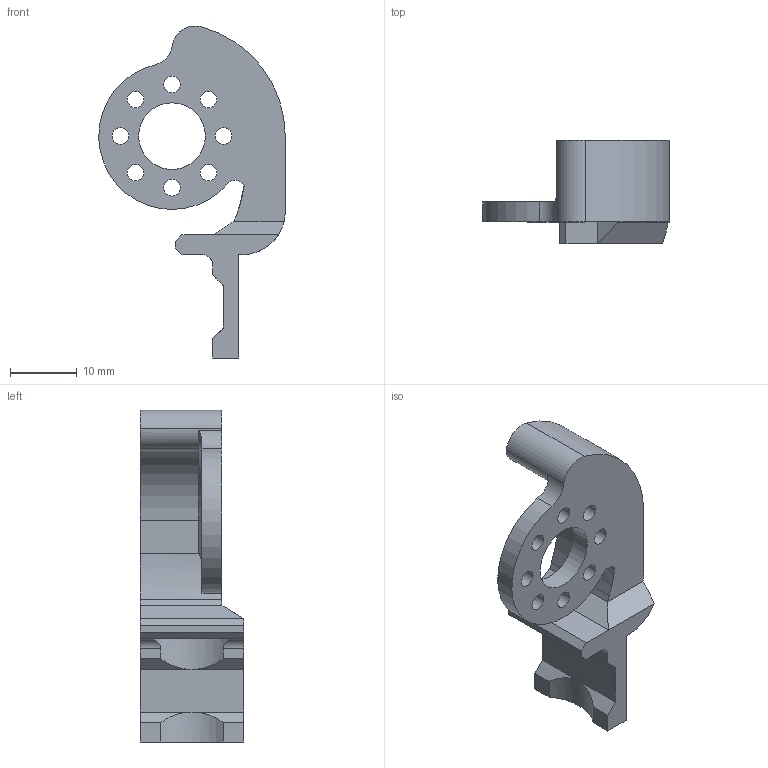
import math
import cadquery as cq

FOOT_FRONT = -3.25
BACK = 12.25
PLATE_THICKNESS = 3.0
CORNER_CHAMFER = 0.5
CORNER_RUNOUT = 1.2

DISC_RADIUS = 11.0
BORE_DIAMETER = 10.0
BOLT_CIRCLE_RADIUS = 7.75
BOLT_HOLE_DIAMETER = 2.5
BOLT_HOLE_COUNT = 8

HOOK_RADIUS = 17.0
TIP_RADIUS = 3.5
TIP_ANGLE = 15.0
TIP_SPLIT_Z = 13.7
TIP_UNDERSIDE_RADIUS = 3.0
TIP_BLEND_RADIUS = 3.3
WALL_STRAIGHT_BOTTOM = -5.0
WALL_CURVE_RADIUS = 18.4
WALL_CURVE_BOTTOM = -11.9
SLOT_END_RADIUS = 1.5
SLOT_END_X = 9.5

SHELF_TOP = -14.8
SHELF_THICKNESS = 3.0
SHELF_LEFT = 0.5
SHELF_CHAMFER = 1.0
SHOULDER_RISE = 2.0
SHOULDER_LEFT = 6.2
OUTER_CORNER_RADIUS = 6.5

LEG_BOTTOM = -33.3
LEG_RIGHT = 10.0
LEG_LEFT = 6.1
LEG_FILLET = 1.5
RECESS_DEPTH = 1.6
RECESS_TOP = -20.8
RECESS_BOTTOM = -30.4

SHELF_BOTTOM = SHELF_TOP - SHELF_THICKNESS
SHOULDER_TOP = SHELF_TOP + SHOULDER_RISE
RECESS_X = LEG_LEFT + RECESS_DEPTH
SCALLOP_RADIUS = RECESS_X
WALL_CURVE_CENTER = (DISC_RADIUS - WALL_CURVE_RADIUS, WALL_STRAIGHT_BOTTOM)
ORIGIN = (0.0, 0.0)


def polar(radius, degrees_from_z):
    """XZ point at a radius from the plate's axis, at an angle from +Z towards +X."""
    angle = math.radians(degrees_from_z)
    return (radius * math.sin(angle), radius * math.cos(angle))


def toward(center, target, distance):
    """Point at a distance from center along the ray to target."""
    length = math.dist(center, target)
    return tuple(c + (t - c) * distance / length for c, t in zip(center, target))


def arc_middle(center, start, end):
    """Middle of the short arc about center from start to end."""
    chord_middle = ((start[0] + end[0]) / 2, (start[1] + end[1]) / 2)
    return toward(center, chord_middle, math.dist(center, start))


def circle_meeting(first, first_radius, second, second_radius):
    """Intersection of two circles lying left of the ray from first to second."""
    gap = math.dist(first, second)
    along = (gap**2 + first_radius**2 - second_radius**2) / (2 * gap)
    across = math.sqrt(first_radius**2 - along**2)
    ux = (second[0] - first[0]) / gap
    uz = (second[1] - first[1]) / gap
    return (first[0] + along * ux - across * uz, first[1] + along * uz + across * ux)


def extrude_xz(outline, front, back):
    """Extrude a closed XZ outline from Y = front to Y = back."""
    return outline.extrude(front - back).translate((0, front, 0))


TIP_CENTER = polar(HOOK_RADIUS - TIP_RADIUS, TIP_ANGLE)


def hook_and_leg():
    """Hook, shelf and leg in one outline, as deep as the whole part."""
    tip_top = polar(HOOK_RADIUS, TIP_ANGLE)
    split_height = TIP_SPLIT_Z - TIP_CENTER[1]
    tip_split = (TIP_CENTER[0] - math.sqrt(TIP_RADIUS**2 - split_height**2), TIP_SPLIT_Z)
    underside_center = circle_meeting(
        tip_split, TIP_UNDERSIDE_RADIUS, ORIGIN, DISC_RADIUS + TIP_UNDERSIDE_RADIUS
    )
    underside_end = toward(ORIGIN, underside_center, DISC_RADIUS)
    wall_top = (DISC_RADIUS, 0.0)
    wall_bottom = (DISC_RADIUS, WALL_STRAIGHT_BOTTOM)
    curve_drop = WALL_STRAIGHT_BOTTOM - WALL_CURVE_BOTTOM
    curve_reach = math.sqrt(WALL_CURVE_RADIUS**2 - curve_drop**2)
    curve_end = (WALL_CURVE_CENTER[0] + curve_reach, WALL_CURVE_BOTTOM)
    tangent_slope = curve_drop / curve_reach
    shoulder_x = curve_end[0] - tangent_slope * (WALL_CURVE_BOTTOM - SHOULDER_TOP)
    hook_side = (HOOK_RADIUS, 0.0)
    corner_center = (HOOK_RADIUS - OUTER_CORNER_RADIUS, SHELF_BOTTOM + OUTER_CORNER_RADIUS)
    corner_top = (HOOK_RADIUS, corner_center[1])
    corner_bottom = (corner_center[0], SHELF_BOTTOM)
    leg_fillet_center = (LEG_LEFT - LEG_FILLET, SHELF_BOTTOM - LEG_FILLET)
    fillet_start = (leg_fillet_center[0], SHELF_BOTTOM)
    fillet_end = (LEG_LEFT, leg_fillet_center[1])

    outline = (
        cq.Workplane("XZ")
        .moveTo(*hook_side)
        .threePointArc(arc_middle(ORIGIN, hook_side, tip_top), tip_top)
        .threePointArc(arc_middle(TIP_CENTER, tip_top, tip_split), tip_split)
        .threePointArc(arc_middle(underside_center, tip_split, underside_end), underside_end)
        .threePointArc(arc_middle(ORIGIN, underside_end, wall_top), wall_top)
        .lineTo(*wall_bottom)
        .threePointArc(arc_middle(WALL_CURVE_CENTER, wall_bottom, curve_end), curve_end)
        .lineTo(shoulder_x, SHOULDER_TOP)
        .lineTo(SHOULDER_LEFT, SHELF_TOP)
        .lineTo(SHELF_LEFT + SHELF_CHAMFER, SHELF_TOP)
        .lineTo(SHELF_LEFT, SHELF_TOP - SHELF_CHAMFER)
        .lineTo(SHELF_LEFT, SHELF_BOTTOM + SHELF_CHAMFER)
        .lineTo(SHELF_LEFT + SHELF_CHAMFER, SHELF_BOTTOM)
        .lineTo(*fillet_start)
        .threePointArc(arc_middle(leg_fillet_center, fillet_start, fillet_end), fillet_end)
        .lineTo(LEG_LEFT, RECESS_TOP)
        .lineTo(RECESS_X, RECESS_TOP - RECESS_DEPTH)
        .lineTo(RECESS_X, RECESS_BOTTOM + RECESS_DEPTH)
        .lineTo(LEG_LEFT, RECESS_BOTTOM)
        .lineTo(LEG_LEFT, LEG_BOTTOM)
        .lineTo(LEG_RIGHT, LEG_BOTTOM)
        .lineTo(LEG_RIGHT, SHELF_BOTTOM)
        .lineTo(*corner_bottom)
        .threePointArc(arc_middle(corner_center, corner_bottom, corner_top), corner_top)
        .close()
    )
    return extrude_xz(outline, FOOT_FRONT, BACK)


def space_above_shoulder():
    """Space in front of the plate, bounded below by the sloped shoulder."""
    return (
        cq.Workplane("YZ")
        .moveTo(0, HOOK_RADIUS)
        .lineTo(0, SHOULDER_TOP)
        .lineTo(FOOT_FRONT, SHELF_TOP)
        .lineTo(FOOT_FRONT, HOOK_RADIUS)
        .close()
        .extrude(HOOK_RADIUS, both=True)
    )


def plate(back):
    """Round plate from Y = 0 to back, blended into the hook tip and ending in a rounded slot."""
    blend_center = circle_meeting(
        ORIGIN, DISC_RADIUS + TIP_BLEND_RADIUS, TIP_CENTER, TIP_RADIUS + TIP_BLEND_RADIUS
    )
    blend_on_disc = toward(ORIGIN, blend_center, DISC_RADIUS)
    blend_on_tip = toward(TIP_CENTER, blend_center, TIP_RADIUS)
    slot_center_distance = DISC_RADIUS + SLOT_END_RADIUS
    slot_center = (SLOT_END_X, -math.sqrt(slot_center_distance**2 - SLOT_END_X**2))
    slot_on_disc = toward(ORIGIN, slot_center, DISC_RADIUS)
    slot_on_wall = circle_meeting(WALL_CURVE_CENTER, WALL_CURVE_RADIUS, slot_center, SLOT_END_RADIUS)
    slot_top = (slot_center[0], slot_center[1] + SLOT_END_RADIUS)
    inside_hook_side = (HOOK_RADIUS - TIP_RADIUS, 0.0)

    outline = (
        cq.Workplane("XZ")
        .moveTo(*blend_on_disc)
        .threePointArc(arc_middle(blend_center, blend_on_disc, blend_on_tip), blend_on_tip)
        .lineTo(*TIP_CENTER)
        .threePointArc(arc_middle(ORIGIN, TIP_CENTER, inside_hook_side), inside_hook_side)
        .lineTo(inside_hook_side[0], slot_on_wall[1])
        .lineTo(*slot_on_wall)
        .threePointArc(slot_top, slot_on_disc)
        .threePointArc((-DISC_RADIUS, 0), blend_on_disc)
        .close()
    )
    return extrude_xz(outline, 0, back)


def plate_holes():
    """Central bore and the ring of bolt holes around it."""
    bolt_spacing = 360 / BOLT_HOLE_COUNT
    bolt_places = [polar(BOLT_CIRCLE_RADIUS, index * bolt_spacing) for index in range(BOLT_HOLE_COUNT)]
    bore = cq.Workplane("XZ").circle(BORE_DIAMETER / 2)
    bolt_circles = cq.Workplane("XZ").pushPoints(bolt_places).circle(BOLT_HOLE_DIAMETER / 2)
    bolt_holes = extrude_xz(bolt_circles, 0, PLATE_THICKNESS)
    return extrude_xz(bore, 0, PLATE_THICKNESS).union(bolt_holes)


def leg_scallop():
    """Upright cylinder that hollows the leg below the shelf."""
    return (
        cq.Workplane("XY", origin=(0, (FOOT_FRONT + BACK) / 2, LEG_BOTTOM))
        .circle(SCALLOP_RADIUS)
        .extrude(SHELF_BOTTOM - LEG_BOTTOM)
    )


def plate_with_corner(hook):
    """Plate with the chamfered corner between its rear face and the hook's inner wall.

    The corner is chamfered against a slab wider than the plate, then trimmed to the plate's outline.
    """
    buried_radius = HOOK_RADIUS - TIP_RADIUS
    buried_angle = 45
    slab = (
        cq.Workplane("XZ")
        .moveTo(-DISC_RADIUS, TIP_SPLIT_Z)
        .lineTo(TIP_CENTER[0], TIP_SPLIT_Z)
        .lineTo(*polar(buried_radius, buried_angle))
        .lineTo(buried_radius, 0)
        .lineTo(buried_radius, WALL_CURVE_BOTTOM)
        .lineTo(-DISC_RADIUS, WALL_CURVE_BOTTOM)
        .close()
    )
    backed_hook = hook.union(extrude_xz(slab, 0, PLATE_THICKNESS))
    slack = 0.01
    corner_box = cq.selectors.BoxSelector(
        (-slack, PLATE_THICKNESS - slack, WALL_CURVE_BOTTOM),
        (HOOK_RADIUS, PLATE_THICKNESS + slack, TIP_SPLIT_Z - slack),
    )
    chamfered = backed_hook.edges(corner_box).chamfer(CORNER_CHAMFER)
    chamfer_back = PLATE_THICKNESS + CORNER_CHAMFER
    below_runout = (
        cq.Workplane("YZ")
        .moveTo(chamfer_back, WALL_STRAIGHT_BOTTOM)
        .lineTo(PLATE_THICKNESS, WALL_STRAIGHT_BOTTOM - CORNER_RUNOUT)
        .lineTo(PLATE_THICKNESS, WALL_CURVE_BOTTOM)
        .lineTo(chamfer_back, WALL_CURVE_BOTTOM)
        .close()
        .extrude(HOOK_RADIUS)
    )
    return chamfered.intersect(plate(chamfer_back)).cut(below_runout)


hook = hook_and_leg().cut(space_above_shoulder())
result = hook.union(plate_with_corner(hook))
result = result.cut(leg_scallop()).cut(plate_holes())